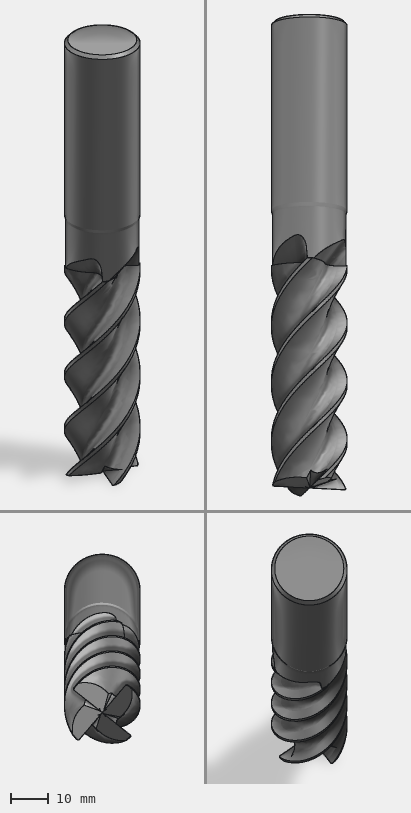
import cadquery as cq
import math


overall_length = 126.0
shank_radius = 10.0
neck_radius = 9.7
shank_end_z = 75.0
neck_cone_height = 1.0
back_chamfer = 0.9

flute_count = 4
flute_pitch = 360.0 / flute_count
cutter_radius = shank_radius
cutter_length = 60.0
helix_angle = 45.0
helix_lead = 2 * math.pi * cutter_radius / math.tan(math.radians(helix_angle))
cutter_twist = 360.0 * cutter_length / helix_lead
top_edge_angle = -17.0
tip_edge_angle = top_edge_angle - cutter_twist

land_angle = 7.8
rake_inner_radius = 7.4
floor_radius = 3.05
floor_sweep = 86.0
back_bulge = 0.7

corner_chamfer = 0.3
end_relief_angle = 19.0
gash_apex_radius = 0.4
gash_rake_angle = 40.0
gash_floor_rise = 0.7
gash_floor_fall = 0.6
gash_wall_rise = 1.08
gash_wall_slope = 1.7
tool_reach = cutter_radius + 2.0
tool_clearance = 2.0

runout_height = 6.4
runout_shift = 4.85
runout_angle = -6.0


def polar(radius, angle):
    """Point at a radius and an angle in degrees."""
    return (radius * math.cos(math.radians(angle)), radius * math.sin(math.radians(angle)))


def turned(point, angle):
    """Point turned about the axis of the mill by an angle in degrees."""
    return polar(math.hypot(*point), math.degrees(math.atan2(point[1], point[0])) + angle)


def floor_point(sweep):
    """Point on the round flute floor, swept from the inner end of the rake face."""
    x, y = polar(floor_radius, 90 + sweep)
    return (rake_inner_radius + x, y - floor_radius)


def add_flute(outline, edge_angle):
    """Draw rake face, flute floor and tooth back, from a cutting edge to the land of the next tooth."""
    rake_end = floor_point(0)
    floor_middle = floor_point(floor_sweep / 2)
    heel = floor_point(floor_sweep)
    back_end = polar(cutter_radius, land_angle - flute_pitch)
    dx = back_end[0] - heel[0]
    dy = back_end[1] - heel[1]
    chord = math.hypot(dx, dy)
    back_middle = (
        heel[0] + dx / 2 - back_bulge * dy / chord,
        heel[1] + dy / 2 + back_bulge * dx / chord,
    )
    return (
        outline.lineTo(*turned(rake_end, edge_angle))
        .threePointArc(turned(floor_middle, edge_angle), turned(heel, edge_angle))
        .threePointArc(turned(back_middle, edge_angle), turned(back_end, edge_angle))
    )


def fluted_section(first_edge_angle):
    """Cross-section of the cutter: flutes and lands in turn around the axis."""
    outline = cq.Workplane("XY").moveTo(*polar(cutter_radius, first_edge_angle))
    for i in range(flute_count):
        edge_angle = first_edge_angle - i * flute_pitch
        next_edge_angle = edge_angle - flute_pitch
        outline = add_flute(outline, edge_angle).threePointArc(
            polar(cutter_radius, next_edge_angle + land_angle / 2),
            polar(cutter_radius, next_edge_angle),
        )
    return outline.close()


def gash_tool():
    """Pyramid with its apex near the axis that cuts the V-shaped gash in front of one end tooth."""
    rake_slope = math.tan(math.radians(gash_rake_angle))
    bottom_z = -0.2
    rake_top_z = gash_floor_rise / (1 + gash_floor_fall * rake_slope)
    wall_top_y = (gash_floor_rise - gash_wall_rise) / (gash_floor_fall + gash_wall_slope)
    section = [
        (bottom_z * rake_slope, bottom_z),
        (rake_top_z * rake_slope, rake_top_z),
        (wall_top_y, gash_floor_rise - gash_floor_fall * wall_top_y),
        ((bottom_z - gash_wall_rise) / gash_wall_slope, bottom_z),
    ]
    apex = cq.Vector(gash_apex_radius, 0, 0)
    base = [apex + cq.Vector(1, y, z) * tool_reach for y, z in section]
    faces = [cq.Face.makeFromWires(cq.Wire.makePolygon(base, close=True))]
    for start, end in zip(base, base[1:] + base[:1]):
        faces.append(cq.Face.makeFromWires(cq.Wire.makePolygon([apex, start, end], close=True)))
    return cq.Workplane(cq.Solid.makeSolid(cq.Shell.makeShell(faces)))


def relief_tool():
    """Wedge that slopes the end face upward behind one end cutting edge."""
    relief_rise = tool_reach * math.tan(math.radians(end_relief_angle))
    return (
        cq.Workplane("YZ")
        .polyline([(0, 0), (tool_reach, relief_rise), (tool_reach, -tool_clearance), (0, -tool_clearance)])
        .close()
        .extrude(tool_reach)
    )


def corner_tool():
    """Ring that chamfers the outer corners of the end teeth."""
    ring = cq.Workplane("XY").circle(cutter_radius + tool_clearance).extrude(corner_chamfer)
    core = cq.Workplane("XY").circle(cutter_radius).extrude(cutter_length).faces("<Z").chamfer(corner_chamfer)
    return ring.cut(core)


def build_cutter():
    cutter = fluted_section(tip_edge_angle).twistExtrude(cutter_length, cutter_twist)
    gash = gash_tool()
    relief = relief_tool()
    for i in range(flute_count):
        edge_angle = tip_edge_angle + i * flute_pitch
        for tool in (gash, relief):
            cutter = cutter.cut(tool.rotate((0, 0, 0), (0, 0, 1), edge_angle))
    return cutter.cut(corner_tool())


def runout_tool(edge_angle):
    """Flute void carried straight upward and outward from the top of the cutter."""
    outline = cq.Workplane("XY", origin=(0, 0, cutter_length)).moveTo(*polar(cutter_radius, edge_angle))
    outline = (
        add_flute(outline, edge_angle)
        .threePointArc(
            polar(cutter_radius, edge_angle - (flute_pitch - land_angle) / 2),
            polar(cutter_radius, edge_angle),
        )
        .close()
    )
    shift_x, shift_y = polar(runout_shift, edge_angle + runout_angle)
    travel = cq.Vector(shift_x, shift_y, runout_height)
    return cq.Workplane(cq.Solid.extrudeLinear(outline.val(), [], travel))


def build_shank():
    shank = (
        cq.Workplane("XZ")
        .moveTo(0, cutter_length)
        .lineTo(neck_radius, cutter_length)
        .lineTo(neck_radius, shank_end_z - neck_cone_height)
        .lineTo(shank_radius, shank_end_z)
        .lineTo(shank_radius, overall_length - back_chamfer)
        .lineTo(shank_radius - back_chamfer, overall_length)
        .lineTo(0, overall_length)
        .close()
        .revolve(360, (0, 0, 0), (0, 1, 0))
    )
    for i in range(flute_count):
        shank = shank.cut(runout_tool(top_edge_angle + i * flute_pitch))
    return shank


shank = build_shank()
cutter = build_cutter()

result = cq.Compound.makeCompound([shank.solids().val(), cutter.solids().val()])